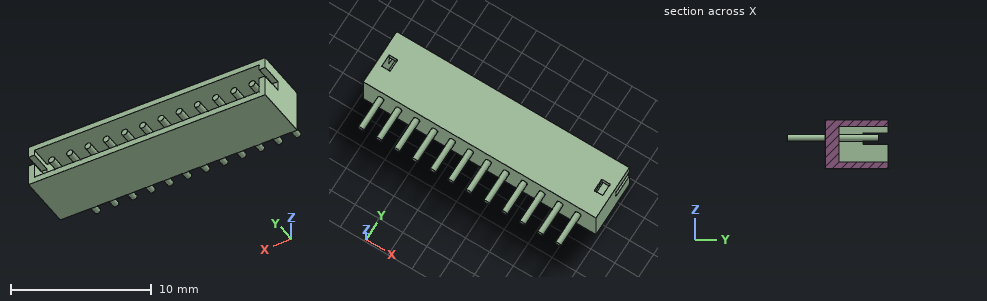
import cadquery as cq


PIN_COUNT = 12
PIN_PITCH = 1.5
PIN_DIAMETER = 0.5
PIN_PROJECTION = 2.7
PIN_TIP_RECESS = 0.7
PIN_BELOW_TOP = 1.3

END_MARGIN = 1.5
HOUSING_LENGTH = (PIN_COUNT - 1) * PIN_PITCH + 2 * END_MARGIN
HOUSING_DEPTH = 4.5
HOUSING_HEIGHT = 3.5
WALL = 0.5
CAVITY_DEPTH = 3.5

SLOT_DEPTH = 1.8
SLOT_HEIGHT = 0.79
SLOT_BELOW_TOP = 0.95

WINDOW_LENGTH = 0.7
WINDOW_DEPTH = 1.0
WINDOW_SETBACK = 1.8


def block(length, depth, height, back, bottom, center_x=0):
    """Box centred on center_x, with its +Y face at back and its underside at bottom."""
    box = cq.Workplane("XY").box(length, depth, height, centered=(True, False, False))
    return box.translate((center_x, back - depth, bottom))


def make_housing():
    housing = block(HOUSING_LENGTH, HOUSING_DEPTH, HOUSING_HEIGHT, HOUSING_DEPTH, 0)
    cavity_length = HOUSING_LENGTH - 2 * WALL
    cavity_height = HOUSING_HEIGHT - 2 * WALL
    cavity = block(cavity_length, CAVITY_DEPTH, cavity_height, HOUSING_DEPTH, WALL)

    slot_bottom = HOUSING_HEIGHT - SLOT_BELOW_TOP - SLOT_HEIGHT
    slots = block(HOUSING_LENGTH, SLOT_DEPTH, SLOT_HEIGHT, HOUSING_DEPTH, slot_bottom)

    housing = housing.cut(cavity).cut(slots)

    window_x = (cavity_length - WINDOW_LENGTH) / 2
    window_back = HOUSING_DEPTH - WINDOW_SETBACK
    window_bottom = HOUSING_HEIGHT - WALL
    for side in (-1, 1):
        window = block(WINDOW_LENGTH, WINDOW_DEPTH, WALL, window_back, window_bottom, side * window_x)
        housing = housing.cut(window)
    return housing


def make_pins():
    pin_length = PIN_PROJECTION + HOUSING_DEPTH - PIN_TIP_RECESS
    pin_z = HOUSING_HEIGHT - PIN_BELOW_TOP
    return (
        cq.Workplane("XZ", origin=(0, -PIN_PROJECTION, pin_z))
        .rarray(PIN_PITCH, 1, PIN_COUNT, 1)
        .circle(PIN_DIAMETER / 2)
        .extrude(-pin_length)
    )


result = make_housing().union(make_pins())